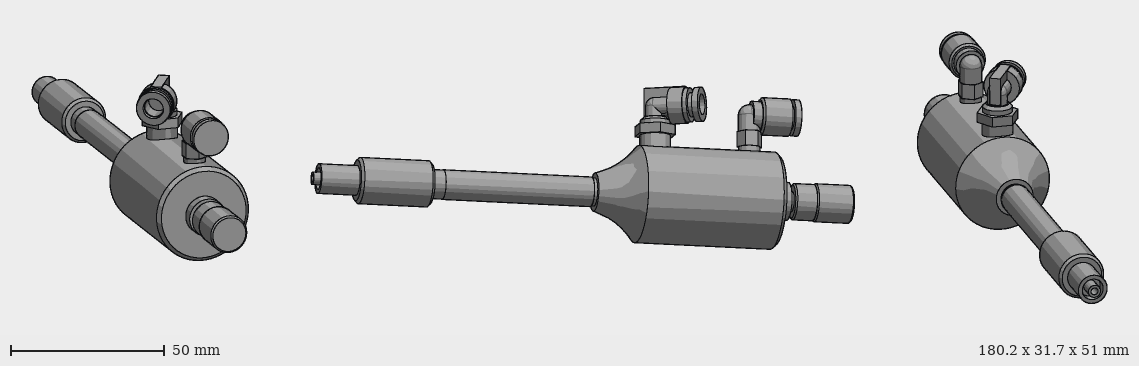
import cadquery as cq
import math


PIN_DIA = 4.1
PIN_BORE_DIA = 2.3
PIN_BORE_DEPTH = 9.0
TUBE_START = 2.0
TUBE_DIA = 9.7
TUBE_BORE_DIA = 7.0
TUBE_BORE_DEPTH = 3.6
COLLAR_START = 14.8
COLLAR_END = 39.5
COLLAR_DIA = 15.1
COLLAR_CHAMFER = 0.9
NECK_END = 43.6
NECK_DIA = 9.5
SHAFT_END = 93.3
SHAFT_DIA = 9.7
SHAFT_GROOVE_DIA = 9.2

NOSE_START = 94.4
NOSE_DIA = 12.5
NOSE_MID = (101.6, 9.4)
HOUSING_START = 108.6
HOUSING_END = 155.3
HOUSING_DIA = 31.7
HOUSING_CHAMFER = 1.3

BOSS_END = 159.0
CONNECTOR_DIA = 12.5
CONNECTOR_GROOVE_DIA = 6.7
SLEEVE_START = 160.5
SLEEVE_END = 167.7
SLEEVE_DIA = 11.9
SLEEVE_CHAMFER = 0.5
LENGTH = 180.2

BIG_X = 114.8
BIG_SWING = -30.0
BIG_STEM_DIA = 10.0
BIG_HEX_BOTTOM = 19.6
BIG_HEX_TOP = 22.9
BIG_HEX_FLATS = 11.9
BIG_HEX_TURN = 30.0
BIG_SHOULDER_DIA = 9.7
BIG_SHOULDER_TOP = 25.5
BIG_SHOULDER_CHAMFER = 1.0
BIG_PIPE_DIA = 6.5
BIG_OUTLET_Z = 29.2
BIG_BODY_DIA = 11.9
BIG_BODY_START = 5.5
BIG_BODY_END = 10.6
BIG_CAP_END = 12.0
BIG_CAP_DIA = 11.2
BIG_GROOVE_DIA = 8.0
BIG_FLANGE_START = 13.9
BIG_FLANGE_END = 15.9
BIG_FLANGE_DIA = 11.2
BIG_MOUTH_DIA = 6.7
BIG_BORE_DIA = 6.3
BIG_BORE_DEPTH = 9.0
WEB_THICKNESS = 3.6

SMALL_X = 146.3
SMALL_STEM_DIA = 7.0
SMALL_HEX_BOTTOM = 17.3
SMALL_HEX_TOP = 22.3
SMALL_HEX_FLATS = 7.2
SMALL_HEX_TURN = 0.0
SMALL_PIPE_DIA = 7.2
SMALL_OUTLET_Z = 27.7
SMALL_RING_DIA = 9.5
SMALL_RING_START = 0.5
SMALL_BODY_START = 3.5
SMALL_BODY_DIA = 12.3
SMALL_BODY_CHAMFER = 0.7
SMALL_BODY_END = 13.2
SMALL_GROOVE_DIA = 8.0
SMALL_FLANGE_START = 14.2
SMALL_FLANGE_END = 16.2
SMALL_FLANGE_DIA = 11.9


def rod(start, end, diameter, height=0.0):
    """Cylinder along X between two stations, with its axis at the given Z."""
    return cq.Workplane("YZ", origin=(start, 0, height)).circle(diameter / 2).extrude(end - start)


def post(bottom, top, diameter):
    """Cylinder along Z on the origin."""
    return cq.Workplane("XY", origin=(0, 0, bottom)).circle(diameter / 2).extrude(top - bottom)


def hex_nut(bottom, top, across_flats, turn):
    """Hexagonal prism along Z; a turn of 0 puts two of its corners on the X axis."""
    across_corners = across_flats / math.cos(math.pi / 6)
    nut = cq.Workplane("XY", origin=(0, 0, bottom)).polygon(6, across_corners).extrude(top - bottom)
    return nut.rotate((0, 0, 0), (0, 0, 1), turn)


def bent_pipe(bottom, outlet_z, diameter, reach):
    """Upright pipe with a ball corner, turning to run along +X."""
    upright = post(bottom, outlet_z, diameter)
    ball = cq.Workplane("XY", origin=(0, 0, outlet_z)).sphere(diameter / 2)
    return upright.union(ball).union(rod(0, reach, diameter, outlet_z))


def nozzle():
    tube = rod(TUBE_START, COLLAR_START, TUBE_DIA)
    tube = tube.cut(rod(TUBE_START, TUBE_START + TUBE_BORE_DEPTH, TUBE_BORE_DIA))
    collar = rod(COLLAR_START, COLLAR_END, COLLAR_DIA).edges().chamfer(COLLAR_CHAMFER)
    pin = rod(0, COLLAR_START, PIN_DIA)
    neck = rod(COLLAR_END, NECK_END, NECK_DIA)
    shaft = rod(NECK_END, SHAFT_END, SHAFT_DIA)
    groove = rod(SHAFT_END, NOSE_START, SHAFT_GROOVE_DIA)
    solid = tube.union(pin).union(collar).union(neck).union(shaft).union(groove)
    return solid.cut(rod(0, PIN_BORE_DEPTH, PIN_BORE_DIA))


def housing():
    radius = HOUSING_DIA / 2
    half_profile = (
        cq.Workplane("XZ")
        .moveTo(NOSE_START, 0)
        .lineTo(NOSE_START, NOSE_DIA / 2)
        .threePointArc(NOSE_MID, (HOUSING_START, radius))
        .lineTo(HOUSING_END - HOUSING_CHAMFER, radius)
        .lineTo(HOUSING_END, radius - HOUSING_CHAMFER)
        .lineTo(HOUSING_END, 0)
        .close()
    )
    return half_profile.revolve(360, (0, 0, 0), (1, 0, 0))


def rear_connector():
    boss = rod(HOUSING_END, BOSS_END, CONNECTOR_DIA)
    groove = rod(BOSS_END, SLEEVE_START, CONNECTOR_GROOVE_DIA)
    sleeve = rod(SLEEVE_START, SLEEVE_END, SLEEVE_DIA).faces("<X").chamfer(SLEEVE_CHAMFER)
    plug = rod(SLEEVE_END, LENGTH, CONNECTOR_DIA).edges().chamfer(SLEEVE_CHAMFER)
    return boss.union(groove).union(sleeve).union(plug)


def big_elbow():
    stem = post(0, BIG_HEX_BOTTOM, BIG_STEM_DIA)
    nut = hex_nut(BIG_HEX_BOTTOM, BIG_HEX_TOP, BIG_HEX_FLATS, BIG_HEX_TURN)
    shoulder = post(BIG_HEX_TOP, BIG_SHOULDER_TOP, BIG_SHOULDER_DIA)
    shoulder = shoulder.faces(">Z").chamfer(BIG_SHOULDER_CHAMFER)

    pipe_radius = BIG_PIPE_DIA / 2
    web_bottom = BIG_OUTLET_Z - pipe_radius
    web = cq.Workplane("XY").box(
        pipe_radius + BIG_BODY_END,
        WEB_THICKNESS,
        BIG_OUTLET_Z + BIG_BODY_DIA / 2 - web_bottom,
        centered=(False, True, False),
    ).translate((-pipe_radius, 0, web_bottom))

    body = rod(BIG_BODY_START, BIG_BODY_END, BIG_BODY_DIA, BIG_OUTLET_Z)
    cap = rod(BIG_BODY_END, BIG_CAP_END, BIG_CAP_DIA, BIG_OUTLET_Z)
    groove = rod(BIG_CAP_END, BIG_FLANGE_START, BIG_GROOVE_DIA, BIG_OUTLET_Z)
    flange = rod(BIG_FLANGE_START, BIG_FLANGE_END, BIG_FLANGE_DIA, BIG_OUTLET_Z)
    outlet = bent_pipe(BIG_SHOULDER_TOP, BIG_OUTLET_Z, BIG_PIPE_DIA, BIG_BODY_START)
    outlet = outlet.union(web).union(body).union(cap).union(groove).union(flange)
    outlet = outlet.cut(rod(BIG_FLANGE_START, BIG_FLANGE_END, BIG_MOUTH_DIA, BIG_OUTLET_Z))
    outlet = outlet.cut(rod(BIG_FLANGE_END - BIG_BORE_DEPTH, BIG_FLANGE_END, BIG_BORE_DIA, BIG_OUTLET_Z))
    outlet = outlet.rotate((0, 0, 0), (0, 0, 1), BIG_SWING)
    return stem.union(nut).union(shoulder).union(outlet).translate((BIG_X, 0, 0))


def small_elbow():
    stem = post(0, SMALL_HEX_BOTTOM, SMALL_STEM_DIA)
    nut = hex_nut(SMALL_HEX_BOTTOM, SMALL_HEX_TOP, SMALL_HEX_FLATS, SMALL_HEX_TURN)
    pipe = bent_pipe(SMALL_HEX_TOP, SMALL_OUTLET_Z, SMALL_PIPE_DIA, SMALL_RING_START)
    ring = rod(SMALL_RING_START, SMALL_BODY_START, SMALL_RING_DIA, SMALL_OUTLET_Z)
    body = rod(SMALL_BODY_START, SMALL_BODY_END, SMALL_BODY_DIA, SMALL_OUTLET_Z)
    body = body.faces("<X").chamfer(SMALL_BODY_CHAMFER)
    groove = rod(SMALL_BODY_END, SMALL_FLANGE_START, SMALL_GROOVE_DIA, SMALL_OUTLET_Z)
    flange = rod(SMALL_FLANGE_START, SMALL_FLANGE_END, SMALL_FLANGE_DIA, SMALL_OUTLET_Z)
    solid = stem.union(nut).union(pipe).union(ring).union(body).union(groove).union(flange)
    return solid.translate((SMALL_X, 0, 0))


result = nozzle().union(housing()).union(rear_connector()).union(big_elbow()).union(small_elbow())